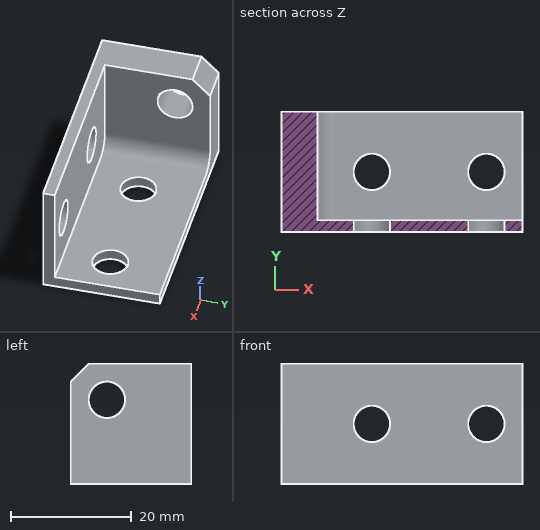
import cadquery as cq

length = 40.0
depth = 20.0
height = 20.0

end_block_thickness = 6.0
front_wall_thickness = 2.0
floor_thickness = 2.0
corner_chamfer = 3.0
inner_fillet = 3.0

hole_diameter = 6.0
hole_positions_x = (-5.0, 14.0)
end_hole_y = 4.0
end_hole_z = 4.0


def make_body():
    """Block hollowed to leave an end block, a front wall and a floor."""
    block = cq.Workplane("XY").box(length, depth, height)
    pocket = (
        cq.Workplane("XY")
        .box(
            length - end_block_thickness,
            depth - front_wall_thickness,
            height - floor_thickness,
            centered=False,
        )
        .edges("|Y and <X and <Z")
        .fillet(inner_fillet)
        .translate((
            end_block_thickness - length / 2,
            front_wall_thickness - depth / 2,
            floor_thickness - height / 2,
        ))
    )
    return block.cut(pocket)


def chamfer_end_block(body):
    """Bevel the upper back corner of the end block."""
    return body.edges("|X and >Y and >Z").chamfer(corner_chamfer)


def drill_holes(body):
    """Drill the front wall, the floor and the end block."""
    radius = hole_diameter / 2
    for x in hole_positions_x:
        wall_hole = cq.Workplane("XZ").center(x, 0).circle(radius).extrude(depth)
        floor_hole = cq.Workplane("XY").center(x, 0).circle(radius).extrude(-height)
        body = body.cut(wall_hole).cut(floor_hole)
    end_hole = (
        cq.Workplane("YZ")
        .center(end_hole_y, end_hole_z)
        .circle(radius)
        .extrude(-length)
    )
    return body.cut(end_hole)


result = drill_holes(chamfer_end_block(make_body()))